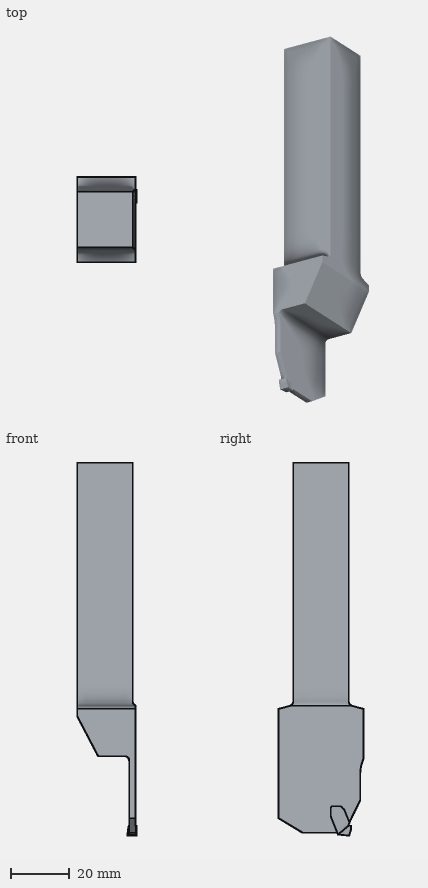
import cadquery as cq
import math

total_height = 127.0
head_depth = 29.1
head_width = 20.0
insert_right = 20.3
insert_left = 17.0

shank_side = 18.9
shank_y = (head_depth - shank_side) / 2
shoulder_edge_z = 43.2
shoulder_angle = math.radians(15)
shoulder_root_z = shoulder_edge_z + shank_y * math.tan(shoulder_angle)
shoulder_radius = 1.7
fillet_setback = shoulder_radius * math.tan((math.pi / 2 - shoulder_angle) / 2)
fillet_top_z = shoulder_root_z + fillet_setback

taper_top_z = 40.6
taper_bottom_x = 7.1
head_bottom_z = 27.0
blade_left = 17.7
blade_root_radius = 1.5

blade_front_y = 28.0
blade_relief_radius = 12.7
relief_top_z = 26.3
nose_top_z = 12.1
nose_bottom_y = 22.5
blade_bottom_z = 1.0
heel_y = 8.3
heel_z = 6.0

tip_corner = (24.1, 0.0)
tip_heel = (20.3, 0.4)
tip_front_low = (24.8, 2.0)
tip_front_high = (24.8, 3.4)
flare_start = (23.9, 3.4)
insert_stem = [(24.3, 4.5), (22.5, 8.9), (21.3, 10.0), (18.2, 10.0), (17.8, 9.3), (17.8, 6.9)]


def front_prism():
    """Outline in XZ: shank, fillet onto the wider head, taper and blade."""
    step = head_width - shank_side
    sweep = math.acos(1 - step / shoulder_radius)
    center_x = shank_side + shoulder_radius

    def fillet_point(angle):
        return (center_x - shoulder_radius * math.cos(angle),
                fillet_top_z - shoulder_radius * math.sin(angle))

    return (
        cq.Workplane("XZ")
        .moveTo(0, total_height)
        .lineTo(shank_side, total_height)
        .lineTo(shank_side, fillet_top_z)
        .threePointArc(fillet_point(sweep / 2), fillet_point(sweep))
        .lineTo(head_width, 0)
        .lineTo(blade_left, 0)
        .lineTo(blade_left, head_bottom_z - blade_root_radius)
        .radiusArc((blade_left - blade_root_radius, head_bottom_z), -blade_root_radius)
        .lineTo(taper_bottom_x, head_bottom_z)
        .lineTo(0, taper_top_z)
        .close()
        .extrude(-head_depth)
    )


def side_prism():
    """Outline in YZ: shank, sloping shoulders and blade with relieved nose and heel."""
    relief_step = head_depth - blade_front_y
    relief_drop = math.sqrt(blade_relief_radius**2 - (blade_relief_radius - relief_step)**2)
    along_y = fillet_setback * math.cos(shoulder_angle)
    fillet_end_z = shoulder_root_z - fillet_setback * math.sin(shoulder_angle)
    shank_front = shank_y + shank_side
    return (
        cq.Workplane("YZ")
        .moveTo(shank_y, total_height)
        .lineTo(shank_front, total_height)
        .lineTo(shank_front, fillet_top_z)
        .radiusArc((shank_front + along_y, fillet_end_z), -shoulder_radius)
        .lineTo(head_depth, shoulder_edge_z)
        .lineTo(head_depth, relief_top_z)
        .radiusArc((blade_front_y, relief_top_z - relief_drop), -blade_relief_radius)
        .lineTo(blade_front_y, nose_top_z)
        .lineTo(nose_bottom_y, blade_bottom_z)
        .lineTo(heel_y, blade_bottom_z)
        .lineTo(0, heel_z)
        .lineTo(0, shoulder_edge_z)
        .lineTo(shank_y - along_y, fillet_end_z)
        .radiusArc((shank_y, fillet_top_z), -shoulder_radius)
        .close()
        .extrude(head_width)
    )


def make_insert():
    """Insert whose stem is flush with the blade and whose tip flares wider."""
    stem = (
        cq.Workplane("YZ", origin=(blade_left, 0, 0))
        .polyline([tip_heel, flare_start, *insert_stem])
        .close()
        .extrude(head_width - blade_left)
    )
    tip = (
        cq.Workplane("YZ", origin=(insert_left, 0, 0))
        .polyline([tip_corner, tip_front_low, tip_front_high, flare_start, tip_heel])
        .close()
        .extrude(insert_right - insert_left)
    )
    run = flare_start[0] - tip_heel[0]
    rise = flare_start[1] - tip_heel[1]
    length = math.hypot(run, rise)
    flare_depth = (rise * (tip_corner[0] - tip_heel[0]) - run * (tip_corner[1] - tip_heel[1])) / length
    flare_plane = cq.Plane(
        origin=(0, *tip_heel),
        xDir=(1, 0, 0),
        normal=(0, run / length, rise / length),
    )
    flare = (
        cq.Workplane(flare_plane)
        .polyline([
            (blade_left, 0),
            (insert_right, 0),
            (insert_right, flare_depth),
            (insert_left, flare_depth),
        ])
        .close()
        .extrude(2 * length, both=True)
    )
    return stem.union(tip.intersect(flare))


insert = make_insert()
blank = front_prism().intersect(side_prism())
holder = blank.cut(insert)

result = cq.Compound.makeCompound([*holder.solids().vals(), *insert.solids().vals()])